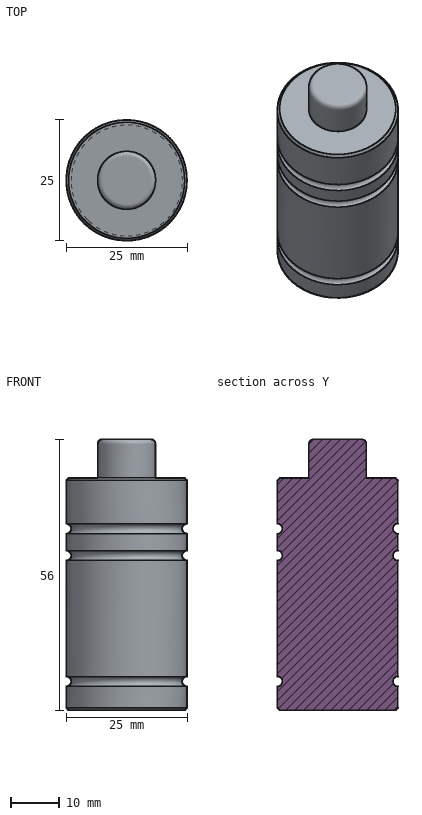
import cadquery as cq

total_height = 56.0
body_diameter = 25.0
body_height = 48.0
body_radius = body_diameter / 2
body_chamfer = 0.5

rod_diameter = 12.0
rod_tip_fillet = 1.0

groove_radius = 1.0
groove_heights = (6.0, 32.0, 37.5)


def make_body():
    """Cylinder with both outer rims chamfered."""
    body = cq.Workplane("XY").circle(body_radius).extrude(body_height)
    return body.faces("<Z or >Z").edges().chamfer(body_chamfer)


def make_rod():
    """Plain rod with a rounded tip, starting on the body's top face."""
    rod = cq.Workplane("XY").workplane(offset=body_height)
    rod = rod.circle(rod_diameter / 2).extrude(total_height - body_height)
    return rod.faces(">Z").edges().fillet(rod_tip_fillet)


def make_groove_cutter(height):
    """Ring of circular section centred on the body's surface."""
    section = cq.Workplane("XZ").center(body_radius, height).circle(groove_radius)
    return section.revolve(360, (-body_radius, 0), (-body_radius, 1))


result = make_body().union(make_rod())
for groove_height in groove_heights:
    result = result.cut(make_groove_cutter(groove_height))